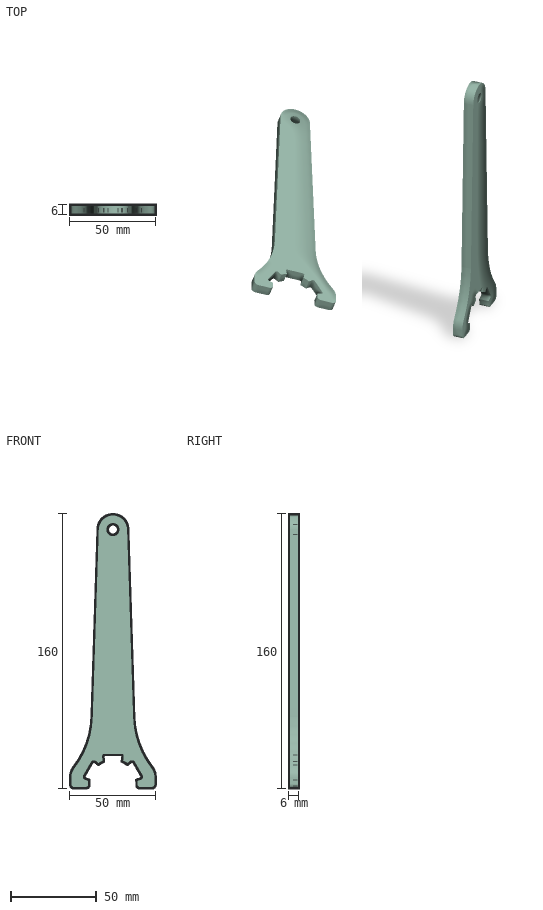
import cadquery as cq
import math

overall_length = 160.0
jaw_width = 50.0
thickness = 6.0

eye_radius = 9.0
hanging_hole_diameter = 6.0
side_taper = 1.84

shoulder_height = 6.6
shoulder_radius = 9.5
flare_radius = 50.0
tip_radius = 2.5

nut_centre_z = 3.0
bore_radius = 13.7
tip_gap_width = 27.0
slot_floor_distance = 16.5
slot_mouth_width = 10.2
slot_floor_width = 11.4
slot_corner_radius = 0.9
slot_angles = (-60.0, 0.0, 60.0)

half_width = jaw_width / 2
eye_centre_z = overall_length - eye_radius


def mirrored(point):
    return (-point[0], point[1])


def between(start, end, distance):
    """Point at the given distance from start on the way to end."""
    fraction = distance / math.dist(start, end)
    return (start[0] + fraction * (end[0] - start[0]), start[1] + fraction * (end[1] - start[1]))


def arc_middle(centre, radius, start, end):
    """Middle point of the short arc from start to end."""
    chord_middle = ((start[0] + end[0]) / 2, (start[1] + end[1]) / 2)
    return between(centre, chord_middle, radius)


def make_body():
    """Plate with a round eye, tapered handle, concave flares and rounded shoulders."""
    taper = math.radians(side_taper)
    normal = (math.cos(taper), math.sin(taper))
    down = (math.sin(taper), -math.cos(taper))
    eye_tangent = (eye_radius * normal[0], eye_centre_z + eye_radius * normal[1])

    shoulder_centre = (half_width - shoulder_radius, shoulder_height)
    offset = eye_radius + flare_radius
    base = (offset * normal[0], eye_centre_z + offset * normal[1])
    to_base = (base[0] - shoulder_centre[0], base[1] - shoulder_centre[1])
    along = to_base[0] * down[0] + to_base[1] * down[1]
    across = to_base[0] * normal[0] + to_base[1] * normal[1]
    travel = -along - math.sqrt((flare_radius + shoulder_radius) ** 2 - across ** 2)
    flare_centre = (base[0] + travel * down[0], base[1] + travel * down[1])

    flare_top = (eye_tangent[0] + travel * down[0], eye_tangent[1] + travel * down[1])
    flare_bottom = between(shoulder_centre, flare_centre, shoulder_radius)
    flare_middle = arc_middle(flare_centre, flare_radius, flare_top, flare_bottom)
    shoulder_end = (half_width, shoulder_height)
    shoulder_middle = arc_middle(shoulder_centre, shoulder_radius, flare_bottom, shoulder_end)

    outline = (
        cq.Workplane("XZ", origin=(0, thickness / 2, 0))
        .moveTo(-half_width, 0)
        .lineTo(half_width, 0)
        .lineTo(*shoulder_end)
        .threePointArc(shoulder_middle, flare_bottom)
        .threePointArc(flare_middle, flare_top)
        .lineTo(*eye_tangent)
        .threePointArc((0, overall_length), mirrored(eye_tangent))
        .lineTo(*mirrored(flare_top))
        .threePointArc(mirrored(flare_middle), mirrored(flare_bottom))
        .threePointArc(mirrored(shoulder_middle), mirrored(shoulder_end))
        .close()
    )
    return outline.extrude(thickness)


def cutting_plane(z):
    """Sketch plane on the +Y face, whose extrusions run through the plate."""
    return cq.Workplane("XZ", origin=(0, thickness / 2, z))


def make_slot(angle):
    """Slot widening from the bore to a flat floor, with rounded floor corners."""
    mouth = slot_mouth_width / 2
    floor = slot_floor_width / 2
    mouth_distance = math.sqrt(bore_radius ** 2 - mouth ** 2)
    slot = (
        cutting_plane(nut_centre_z)
        .polyline([
            (0, 0),
            (mouth, mouth_distance),
            (floor, slot_floor_distance),
            (-floor, slot_floor_distance),
            (-mouth, mouth_distance),
        ])
        .close()
        .extrude(thickness)
        .edges("|Y and >Z")
        .fillet(slot_corner_radius)
    )
    nut_axis_start = (0, 0, nut_centre_z)
    nut_axis_end = (0, 1, nut_centre_z)
    return slot.rotate(nut_axis_start, nut_axis_end, angle)


def make_gap(width):
    """Straight passage between the jaw tips, from z = 0 up to the nut axis."""
    return cutting_plane(nut_centre_z / 2).rect(width, nut_centre_z).extrude(thickness)


def cut_nut_opening(body):
    body = body.cut(make_gap(tip_gap_width)).faces("<Z").edges("|Y").fillet(tip_radius)
    bore = cutting_plane(nut_centre_z).circle(bore_radius).extrude(thickness)
    body = body.cut(bore).cut(make_gap(2 * bore_radius))
    for angle in slot_angles:
        body = body.cut(make_slot(angle))
    return body


def cut_hanging_hole(body):
    hole = cutting_plane(eye_centre_z).circle(hanging_hole_diameter / 2).extrude(thickness)
    return body.cut(hole)


result = cut_hanging_hole(cut_nut_opening(make_body()))